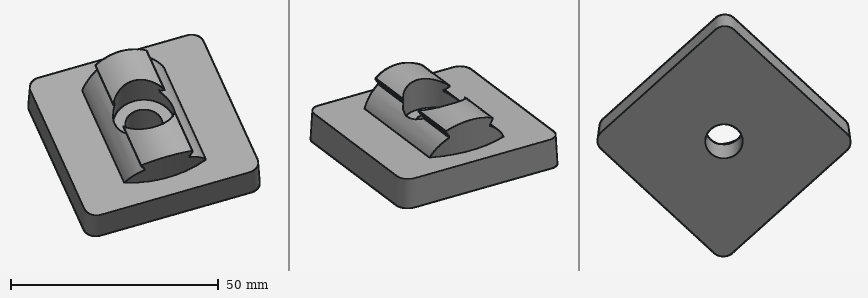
import cadquery as cq
import math

BASE_SIDE = 45.0
BASE_TOP_SIDE = 44.35
BASE_HEIGHT = 7.8
CORNER_RADIUS = 3.15

TOTAL_HEIGHT = 16.1
HEAD_RADIUS = 13.95
FLANK_RADIUS = 11.9
HEAD_HALF_WIDTH = 6.55
LIP_HEIGHT = 0.3
NECK_HALF_WIDTH = 5.75
NECK_WALL_HEIGHT = 0.3
ARC_AXIS_HEIGHT = TOTAL_HEIGHT - HEAD_RADIUS

RAIL_LENGTH = 34.0
END_RADIUS = 27.9

HOLE_RADIUS = 4.5
COUNTERBORE_RADIUS = 7.45
COUNTERBORE_FLOOR = 8.0


def make_base():
    """Rounded square block whose top is a little smaller than its bottom."""
    bottom = cq.Sketch().rect(BASE_SIDE, BASE_SIDE).vertices().fillet(CORNER_RADIUS)
    top = cq.Sketch().rect(BASE_TOP_SIDE, BASE_TOP_SIDE).vertices().fillet(CORNER_RADIUS)
    top_location = cq.Location(cq.Vector(0, 0, BASE_HEIGHT))
    return cq.Workplane("XY").placeSketch(bottom, top.moved(top_location)).loft(ruled=True)


def arc_height(radius, y):
    """Height of a rail arc at distance y from the middle plane."""
    return ARC_AXIS_HEIGHT + math.sqrt(radius**2 - y**2)


def make_rail():
    """Notched rail along X, trimmed by a large cylinder at each end."""
    foot_half_width = math.sqrt(FLANK_RADIUS**2 - (BASE_HEIGHT - ARC_AXIS_HEIGHT) ** 2)
    flank_mid_y = (foot_half_width + NECK_HALF_WIDTH) / 2
    flank_mid_z = arc_height(FLANK_RADIUS, flank_mid_y)
    neck_z = arc_height(FLANK_RADIUS, NECK_HALF_WIDTH)
    neck_top_z = neck_z + NECK_WALL_HEIGHT
    head_z = arc_height(HEAD_RADIUS, HEAD_HALF_WIDTH)
    lip_z = head_z - LIP_HEIGHT

    rail = (
        cq.Workplane("YZ")
        .moveTo(-foot_half_width, BASE_HEIGHT)
        .threePointArc((-flank_mid_y, flank_mid_z), (-NECK_HALF_WIDTH, neck_z))
        .lineTo(-NECK_HALF_WIDTH, neck_top_z)
        .lineTo(-HEAD_HALF_WIDTH, lip_z)
        .lineTo(-HEAD_HALF_WIDTH, head_z)
        .threePointArc((0, TOTAL_HEIGHT), (HEAD_HALF_WIDTH, head_z))
        .lineTo(HEAD_HALF_WIDTH, lip_z)
        .lineTo(NECK_HALF_WIDTH, neck_top_z)
        .lineTo(NECK_HALF_WIDTH, neck_z)
        .threePointArc((flank_mid_y, flank_mid_z), (foot_half_width, BASE_HEIGHT))
        .close()
        .extrude(RAIL_LENGTH / 2, both=True)
    )
    for side in (-1, 1):
        end_axis_x = side * (RAIL_LENGTH / 2 - END_RADIUS)
        end_cylinder = (
            cq.Workplane("XY").center(end_axis_x, 0).circle(END_RADIUS).extrude(TOTAL_HEIGHT)
        )
        rail = rail.intersect(end_cylinder)
    return rail


screw_hole = cq.Workplane("XY").circle(HOLE_RADIUS).extrude(TOTAL_HEIGHT)
counterbore = (
    cq.Workplane("XY", origin=(0, 0, COUNTERBORE_FLOOR))
    .circle(COUNTERBORE_RADIUS)
    .extrude(TOTAL_HEIGHT - COUNTERBORE_FLOOR)
)

result = make_base().union(make_rail()).cut(screw_hole).cut(counterbore)